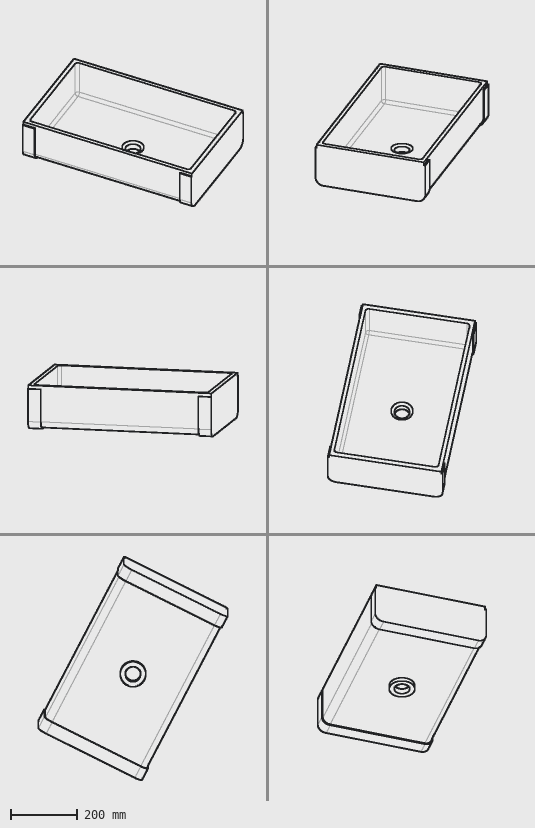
import cadquery as cq

length = 568.0
overall_width = 352.0
overall_height = 144.0

band_thickness = 4.0
band_width = 40.0
band_top_drop = 10.0

body_width = overall_width - 2 * band_thickness
body_height = 132.0
body_radius = 22.0
end_wall = 14.0
side_wall = 12.5
floor_thickness = 11.5
cavity_radius = 9.5

spigot_diameter = 77.0
drain_diameter = 46.0
drain_mouth_diameter = 66.0
drain_mouth_depth = 5.0

cavity_depth = body_height - floor_thickness


def trough(x_size, width, top, bottom, radius):
    """Solid block running along X with its two long bottom edges rounded."""
    block = cq.Workplane("XY").workplane(offset=bottom).rect(x_size, width).extrude(top - bottom)
    return block.edges("|X and <Z").fillet(radius)


def end_band(side):
    """U-shaped band flush with one end; its inside is filled by the body."""
    band = trough(
        band_width,
        overall_width,
        -band_top_drop,
        -body_height - band_thickness,
        body_radius + band_thickness,
    )
    return band.translate((side * (length - band_width) / 2, 0, 0))


def cavity():
    """Bowl with equally rounded upright corners and floor edges."""
    bowl = (
        cq.Workplane("XY")
        .rect(length - 2 * end_wall, body_width - 2 * side_wall)
        .extrude(-cavity_depth)
    )
    return bowl.edges("|Z or <Z").fillet(cavity_radius)


def spigot():
    """Round drain outlet projecting below the floor."""
    return (
        cq.Workplane("XY")
        .workplane(offset=-overall_height)
        .circle(spigot_diameter / 2)
        .extrude(overall_height - cavity_depth)
    )


def drain_cutter():
    """Through hole with a conical mouth at the bowl floor."""
    bore = (
        cq.Workplane("XY")
        .workplane(offset=-overall_height)
        .circle(drain_diameter / 2)
        .extrude(overall_height)
    )
    mouth = (
        cq.Workplane("XY")
        .workplane(offset=-cavity_depth)
        .circle(drain_mouth_diameter / 2)
        .workplane(offset=-drain_mouth_depth)
        .circle(drain_diameter / 2)
        .loft(ruled=True)
    )
    return bore.union(mouth)


basin = trough(length, body_width, 0, -body_height, body_radius)
for end_side in (-1, 1):
    basin = basin.union(end_band(end_side))

result = basin.union(spigot()).cut(cavity()).cut(drain_cutter())